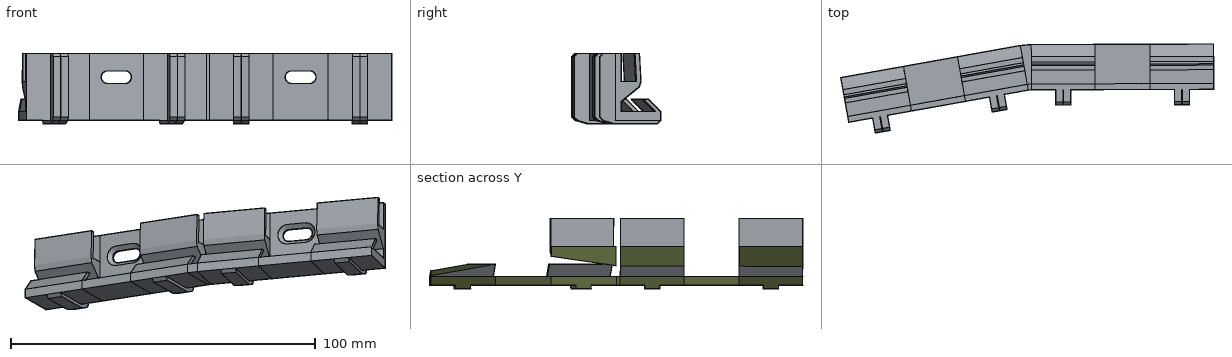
import cadquery as cq
import math

total_length = 122.5
bend_angle = 10.0
yaw_angle = 0.15
clip_length = 21.0
plate_length = 18.0
wall_height = 22.0
wall_thickness = 2.0
base_depth = 15.0
base_thickness = 3.0

hook_top = 7.0
hook_width = 1.7
groove_bottom = 6.1
lip_corner_depth = 8.0
lip_corner_height = 11.0
channel_floor = 12.9
channel_floor_depth = 7.0
channel_top_depth = 6.5
lip_wall = 1.5

leg_width = 5.0
leg_reach = 5.0
leg_chamfer = 1.1
leg_drop = 1.1
slit_width = 0.1

slot_length = 10.0
slot_height = 4.0
slot_center_height = 14.2
slot_straight_depth = 0.6

arm_length = 2 * clip_length + plate_length
right_yaw = math.radians(yaw_angle)
left_yaw = math.radians(bend_angle + yaw_angle)
mitre_yaw = (right_yaw + left_yaw) / 2
left_span = arm_length * math.cos(left_yaw) + base_depth * math.sin(left_yaw)
right_span = arm_length * math.cos(right_yaw)
joint_span = total_length - left_span - right_span
joint_rise = joint_span * math.tan(mitre_yaw)

def extrude_profile(points, length):
    """Extrude a closed (depth, height) outline along +X, starting at X = 0."""
    return cq.Workplane("YZ").polyline(points).close().extrude(length)


def make_leg():
    """Rib in front of and below a clip, split in two by a thin slit ahead of the wall."""
    front = -leg_reach
    outline = [
        (0, wall_height),
        (front + leg_chamfer, wall_height),
        (front, wall_height - leg_chamfer),
        (front, leg_chamfer),
        (front + leg_chamfer, 0),
        (0, -leg_drop),
        (base_depth - leg_drop, -leg_drop),
        (base_depth, 0),
        (0, 0),
    ]
    leg = extrude_profile(outline, leg_width).translate(((clip_length - leg_width) / 2, 0, 0))
    slit = cq.Workplane("XY").box(
        slit_width, leg_reach, wall_height + leg_drop, centered=(True, False, False)
    )
    return leg.cut(slit.translate((clip_length / 2, -leg_reach, -leg_drop)))


def make_clip():
    """End section of an arm: hook, groove and channel behind the wall, with a leg in front."""
    hook_run = hook_top - base_thickness
    outline = [
        (0, 0),
        (base_depth, 0),
        (base_depth, base_thickness),
        (base_depth - hook_run, hook_top),
        (base_depth - hook_run - hook_width, hook_top),
        (base_depth - hook_width, base_thickness),
        (wall_thickness, base_thickness),
        (wall_thickness, groove_bottom),
        (lip_corner_depth, lip_corner_height),
        (channel_floor_depth + lip_wall, channel_floor),
        (channel_top_depth + lip_wall, wall_height),
        (channel_top_depth, wall_height),
        (channel_floor_depth, channel_floor),
        (wall_thickness, channel_floor),
        (wall_thickness, wall_height),
        (0, wall_height),
    ]
    return extrude_profile(outline, clip_length).union(make_leg())


def make_plate():
    """Middle section of an arm: plain wall and base with a screw slot countersunk from behind."""
    outline = [
        (0, 0),
        (base_depth, 0),
        (base_depth, base_thickness),
        (wall_thickness, base_thickness),
        (wall_thickness, wall_height),
        (0, wall_height),
    ]
    flare = wall_thickness - slot_straight_depth
    slot_plane = cq.Workplane("XZ").center(plate_length / 2, slot_center_height)
    slot = slot_plane.slot2D(slot_length, slot_height).extrude(-wall_thickness)
    countersink = (
        slot_plane.workplane(offset=-slot_straight_depth)
        .slot2D(slot_length, slot_height)
        .workplane(offset=-flare)
        .slot2D(slot_length + 2 * flare, slot_height + 2 * flare)
        .loft()
    )
    return extrude_profile(outline, plate_length).cut(slot).cut(countersink)


def make_joint():
    """Mitred wedge between the arms, with the same wall and base as the plates."""

    def wedge(depth, height):
        corners = [
            (0, 0),
            (joint_span, joint_rise),
            (joint_span - depth * math.sin(right_yaw), joint_rise + depth * math.cos(right_yaw)),
            (-depth * math.sin(left_yaw), depth * math.cos(left_yaw)),
        ]
        return cq.Workplane("XY").polyline(corners).close().extrude(height)

    return wedge(base_depth, base_thickness).union(wedge(wall_thickness, wall_height))


def make_arm():
    """The three separate bodies of one arm, starting at X = 0."""
    return [
        make_clip(),
        make_plate().translate((clip_length, 0, 0)),
        make_clip().translate((clip_length + plate_length, 0, 0)),
    ]


def turn(body, angle):
    """Turn a body about the vertical axis through the origin."""
    return body.rotate((0, 0, 0), (0, 0, 1), angle)


bodies = [make_joint()]
for section in make_arm():
    right_section = turn(section, yaw_angle).translate((joint_span, joint_rise, 0))
    left_section = turn(section.translate((-arm_length, 0, 0)), bend_angle + yaw_angle)
    bodies += [right_section, left_section]

result = cq.Compound.makeCompound([body.val() for body in bodies])